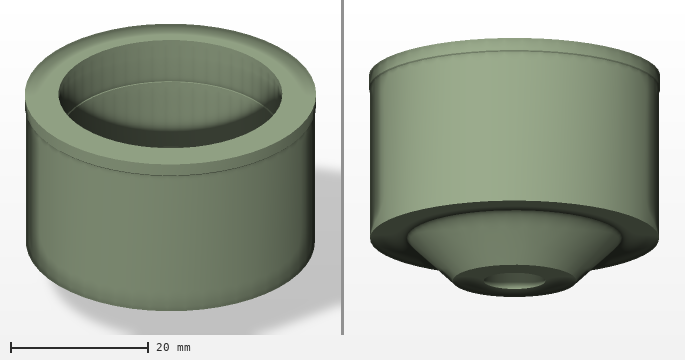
import cadquery as cq

total_height = 30.8
nose_height = 6.4
rim_height = 1.8

rim_radius = 21.15
body_radius = 21.0
nose_top_radius = 15.65
nose_tip_radius = 8.95

upper_bore_radius = 16.25
upper_bore_depth = 6.8
lower_bore_radius = 16.0
bore_depth = 17.5

funnel_top_radius = 10.58
funnel_neck_radius = 8.5
funnel_cone_height = 1.2
seat_radius = 7.7
neck_height = 2.25

outlet_radius = 4.5

rim_chamfer_height = rim_radius - body_radius
rim_bottom_z = total_height - rim_height
body_top_z = rim_bottom_z - rim_chamfer_height
ledge_z = total_height - upper_bore_depth
floor_z = total_height - bore_depth
neck_z = floor_z - funnel_cone_height
seat_z = neck_z - neck_height


def revolve_profile(points):
    """Spin a closed (radius, height) outline around the Z axis."""
    return cq.Workplane("YZ").polyline(points).close().revolve(360, (0, 0), (0, 1))


result = revolve_profile([
    (outlet_radius, 0),
    (nose_tip_radius, 0),
    (nose_top_radius, nose_height),
    (body_radius, nose_height),
    (body_radius, body_top_z),
    (rim_radius, rim_bottom_z),
    (rim_radius, total_height),
    (upper_bore_radius, total_height),
    (upper_bore_radius, ledge_z),
    (lower_bore_radius, ledge_z),
    (lower_bore_radius, floor_z),
    (funnel_top_radius, floor_z),
    (funnel_neck_radius, neck_z),
    (seat_radius, seat_z),
    (outlet_radius, seat_z),
])